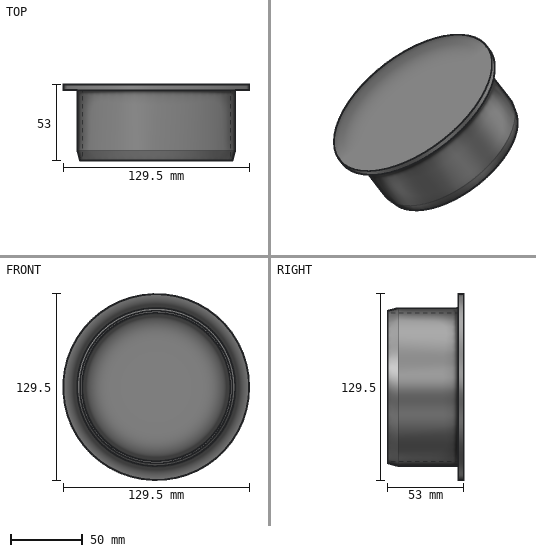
import cadquery as cq
import math

flange_diameter = 129.5
flange_thickness = 4.0
plug_diameter = 110.0
bore_diameter = 103.2
total_length = 53.0
floor_thickness = 4.0
lead_in_length = 7.2
lead_in_angle = 15.0
root_fillet = 0.5

flange_radius = flange_diameter / 2
plug_radius = plug_diameter / 2
bore_radius = bore_diameter / 2
rim_radius = plug_radius - lead_in_length * math.tan(math.radians(lead_in_angle))

open_end_y = -total_length
lead_in_start_y = open_end_y + lead_in_length
flange_inner_y = -flange_thickness
floor_y = -floor_thickness

arc_mid_offset = root_fillet * (1 - math.cos(math.radians(45)))


def cap_profile():
    """Half section in the XY plane, with the Y axis as the axis of revolution."""
    return (
        cq.Workplane("XY")
        .moveTo(0, 0)
        .lineTo(flange_radius, 0)
        .lineTo(flange_radius, flange_inner_y)
        .lineTo(plug_radius + root_fillet, flange_inner_y)
        .threePointArc(
            (plug_radius + arc_mid_offset, flange_inner_y - arc_mid_offset),
            (plug_radius, flange_inner_y - root_fillet),
        )
        .lineTo(plug_radius, lead_in_start_y)
        .lineTo(rim_radius, open_end_y)
        .lineTo(bore_radius, open_end_y)
        .lineTo(bore_radius, floor_y - root_fillet)
        .threePointArc(
            (bore_radius - arc_mid_offset, floor_y - arc_mid_offset),
            (bore_radius - root_fillet, floor_y),
        )
        .lineTo(0, floor_y)
        .close()
    )


result = cap_profile().revolve(360, (0, 0, 0), (0, 1, 0))